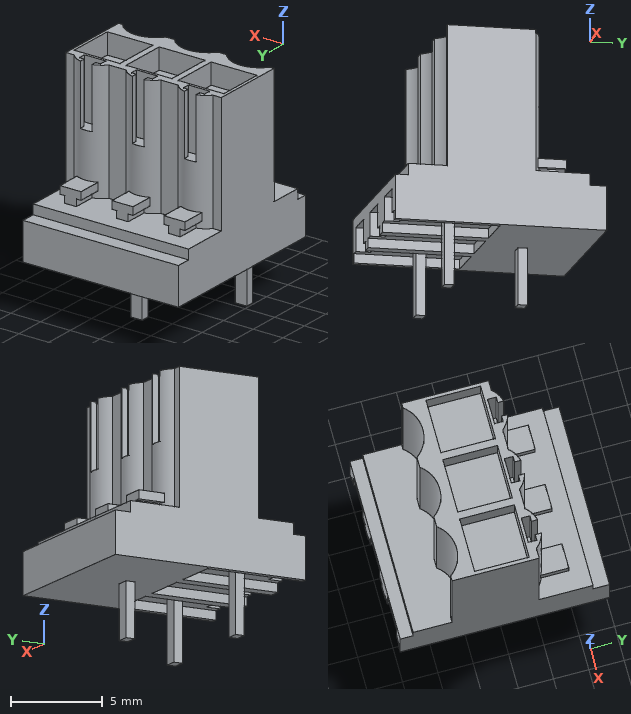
import cadquery as cq

POLE_COUNT = 3
PITCH = 3.5
POLE_X = [(i - (POLE_COUNT - 1) / 2) * PITCH for i in range(POLE_COUNT)]

WIDTH = 10.5
BASE_DEPTH = 11.85
SHOULDER_Z = 2.5
BASE_TOP_Z = 3.15
FRONT_LEDGE = 0.73
REAR_LEDGE = 0.95
TOTAL_HEIGHT = 14.3
PIN_LENGTH_BELOW = 3.2
TOWER_TOP_Z = TOTAL_HEIGHT - PIN_LENGTH_BELOW
TOWER_FRONT_Y = 2.93
TOWER_REAR_Y = 7.86

SCOOP_WIDTH = 2.92
SCOOP_DEPTH = 0.73
BULGE_WIDTH = 2.35
BULGE_HEIGHT = 0.55

WELL_SIDE = 3.09
WELL_DEPTH = 1.39
WELL_FRONT_Y = 4.26

T_WIDTH = 1.43
T_NECK_WIDTH = 0.79
SLOT_FRONT_Y = 7.52
SLOT_HEAD_DEPTH = 0.49
SLOT_LENGTH = 4.0
RAIL_REAR_Y = 9.82
RAIL_HEAD_Z = 3.6
RAIL_TOP_Z = 4.12

WINDOW_WIDTH = 1.85
WINDOW_TOP_Z = 1.87
WINDOW_DEPTH = 0.83
CHANNEL_WIDTH = 2.79
CHANNEL_TOP_Z = 0.53
CHANNEL_DEPTH = BASE_DEPTH / 2

PIN_WIDTH = 0.79
PIN_THICKNESS = 0.55
PIN_TOP_Z = CHANNEL_TOP_Z
FRONT_ROW_Y = 3.35
ROW_SPACING = 4.9
PIN_Y = [FRONT_ROW_Y + (i % 2) * ROW_SPACING for i in range(POLE_COUNT)]


def block(x_center, x_size, y_start, y_end, z_start, z_end):
    """Box centred on x_center, between the given Y and Z limits."""
    size = (x_size, y_end - y_start, z_end - z_start)
    return cq.Workplane("XY").box(*size, centered=(True, False, False)).translate((x_center, y_start, z_start))


def arc_column(x_center, chord_y, chord, rise):
    """Upright column with a circular-segment section that rises toward +Y from its chord."""
    return (
        cq.Workplane("XY", origin=(x_center, chord_y, BASE_TOP_Z))
        .moveTo(-chord / 2, 0)
        .threePointArc((0, rise), (chord / 2, 0))
        .close()
        .extrude(TOWER_TOP_Z - BASE_TOP_Z)
    )


def make_base_and_tower():
    base = block(0, WIDTH, 0, BASE_DEPTH, 0, SHOULDER_Z)
    step = block(0, WIDTH, FRONT_LEDGE, BASE_DEPTH - REAR_LEDGE, SHOULDER_Z, BASE_TOP_Z)
    tower = block(0, WIDTH, TOWER_FRONT_Y, TOWER_REAR_Y, BASE_TOP_Z, TOWER_TOP_Z)
    return base.union(step).union(tower)


def make_coding_rail(x):
    neck = block(x, T_NECK_WIDTH, TOWER_REAR_Y, RAIL_REAR_Y, BASE_TOP_Z, RAIL_HEAD_Z)
    head = block(x, T_WIDTH, TOWER_REAR_Y, RAIL_REAR_Y, RAIL_HEAD_Z, RAIL_TOP_Z)
    return neck.union(head)


def make_coding_slot(x):
    bottom_z = TOWER_TOP_Z - SLOT_LENGTH
    head_end_y = SLOT_FRONT_Y + SLOT_HEAD_DEPTH
    head = block(x, T_WIDTH, SLOT_FRONT_Y, head_end_y, bottom_z, TOWER_TOP_Z)
    neck = block(x, T_NECK_WIDTH, head_end_y, TOWER_REAR_Y + BULGE_HEIGHT, bottom_z, TOWER_TOP_Z)
    return head.union(neck)


def make_well(x):
    return block(x, WELL_SIDE, WELL_FRONT_Y, WELL_FRONT_Y + WELL_SIDE, TOWER_TOP_Z - WELL_DEPTH, TOWER_TOP_Z)


def make_front_recess(x):
    window = block(x, WINDOW_WIDTH, 0, WINDOW_DEPTH, 0, WINDOW_TOP_Z)
    channel = block(x, CHANNEL_WIDTH, 0, CHANNEL_DEPTH, 0, CHANNEL_TOP_Z)
    return window.union(channel)


def make_pin(x, y):
    half = PIN_THICKNESS / 2
    return block(x, PIN_WIDTH, y - half, y + half, -PIN_LENGTH_BELOW, PIN_TOP_Z)


def make_housing(pins):
    body = make_base_and_tower()
    for x in POLE_X:
        body = body.union(arc_column(x, TOWER_REAR_Y, BULGE_WIDTH, BULGE_HEIGHT))
        body = body.union(make_coding_rail(x))
        body = body.cut(arc_column(x, TOWER_FRONT_Y, SCOOP_WIDTH, SCOOP_DEPTH))
        body = body.cut(make_coding_slot(x))
        body = body.cut(make_well(x))
        body = body.cut(make_front_recess(x))
    for pin in pins:
        body = body.cut(pin)
    return body


pins = [make_pin(x, y) for x, y in zip(POLE_X, PIN_Y)]
housing = make_housing(pins)

result = cq.Compound.makeCompound([housing.val(), *[pin.val() for pin in pins]])